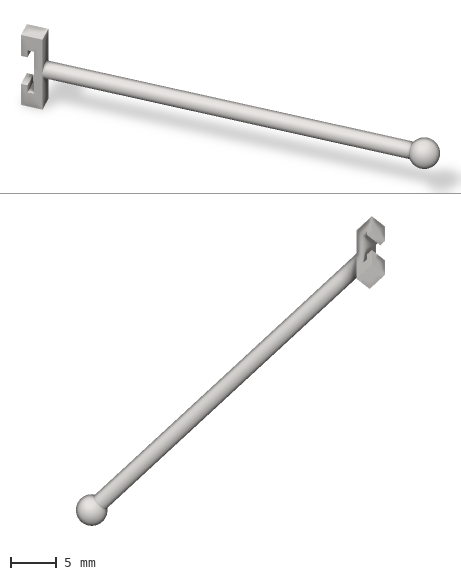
import cadquery as cq

total_length = 48.25
stock = 2.0
ball_diameter = 3.45

clip_height = 10.0
clip_depth = 2.5
lip_thickness = 0.75
slot_floor = 1.5
slot_height = 6.0
mouth_height = 4.0

ball_center = total_length - ball_diameter / 2


def clip_block(depth, height, start=0.0):
    """Block centred on the rod axis, reaching from start to start + depth."""
    return (
        cq.Workplane("XY")
        .box(depth, stock, height, centered=(False, True, True))
        .translate((start, 0, 0))
    )


mouth = clip_block(slot_floor, mouth_height)
slot = clip_block(slot_floor - lip_thickness, slot_height, lip_thickness)
clip = clip_block(clip_depth, clip_height).cut(mouth).cut(slot)

rod = (
    cq.Workplane("YZ", origin=(clip_depth, 0, 0))
    .circle(stock / 2)
    .extrude(ball_center - clip_depth)
)

ball = cq.Workplane("XY").sphere(ball_diameter / 2).translate((ball_center, 0, 0))

result = clip.union(rod).union(ball)